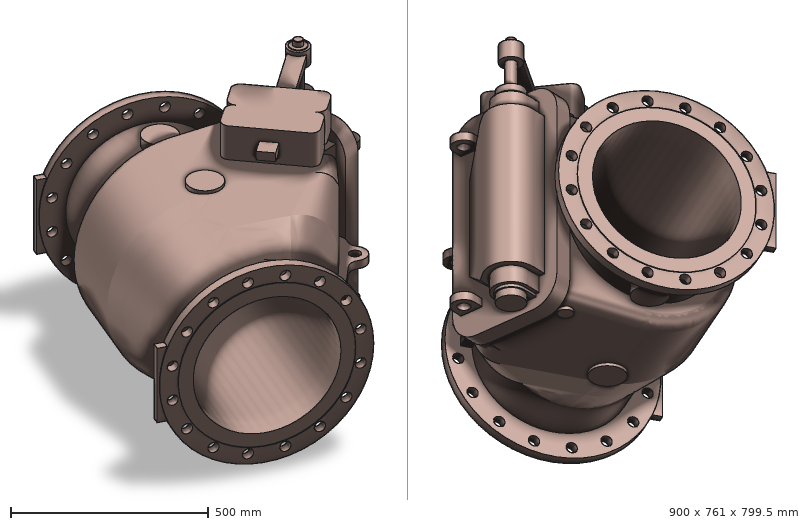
import cadquery as cq
import math


length = 900.0
bore_d = 400.0
pipe_d = 436.0
flange_d = 580.0
flange_thick = 28.0
raised_face_d = 480.0
raised_face_height = 3.0
bolt_circle_d = 518.0
bolt_d = 30.0
bolt_count = 16
foot_bottom = -295.0
foot_width = 221.0
foot_thick = 22.0

body_r = 283.0
roof_corner_r = 72.0
reducer_corner_r = 126.0
front_face_x = -260.0
front_face_tilt = 10.0
front_edge_r = 36.0
front_reach = -360.0
flank_height = 225.0
pipe_overlap = 135.0
roof_slope = 0.33
reducer_start_x = 52.0
reducer_start_top = 345.0
reducer_mid_x = 175.5
reducer_mid_top = 293.0
reducer_end_x = 292.0

cover_center = (-208.0, 350.0, 0)
cover_tilt = 30.0
joint_length = 347.0
joint_height = 651.0
joint_thick = 50.0
joint_corner_r = 80.0
neck_end = 143.0
neck_depth = 180.0

shaft_u = -60.0
shaft_n = 46.0
barrel_r = 73.0
barrel_half = 234.0
housing_steps = [(barrel_r, barrel_half), (54.0, 283.0), (44.0, 292.0)]
gland_d = 80.0
gland_half = 314.0
dome_end = 117.0
dome_end_half = 144.0

lug_r = 35.0
lug_thick = 24.0
cover_lug_center = (-127.0, 431.0)
cover_lug_z = 237.0
cover_lug_hole_d = 35.0
body_lug_center = (43.0, 391.0)
body_lug_hole_d = 32.0
lug_blend_r = 31.5
rib_height = 248.0
rib_crest = [(96.0, 353.0), (183.0, 313.0), (282.0, rib_height)]
rib_sink = 9.0

shaft_d = 32.0
hub_d = 65.0
hub_bottom = 399.0
hub_top = 449.0
washer_d = 50.0
washer_thick = 3.0
tip_d = 28.0
tip_top = 469.0
tip_chamfer = 2.0
lever_reach = 500.0
lever_width = 50.0
lever_thick = 26.0
weight_start = 246.0
weight_width = 103.0
weight_length = 257.0
weight_thick = 101.0
weight_corner_r = 25.0
weight_count = 2
weight_top = 474.0

pad_d = 100.0
pin_boss_d = 42.0
body_pad_top = 292.0
pipe_pad_top = 241.0
bosses = [
    (4.0, 0, pad_d, body_pad_top),
    (-320.0, 0, pad_d, pipe_pad_top),
    (-247.0, 201.0, pin_boss_d, body_pad_top),
]
plug_d = 28.0
plug_y = -254.0
plug_depth = 45.0

half_length = length / 2
disc_outer_x = half_length - raised_face_height
disc_inner_x = disc_outer_x - flange_thick
reducer_taper = (body_r - pipe_d / 2) / (reducer_end_x - reducer_start_x)
reducer_mid_r = body_r - reducer_taper * (reducer_mid_x - reducer_start_x)
beyond = 1800.0


def in_cover_frame(shape):
    """Move a shape from the cover frame (u along the joint, n outward, z) into place."""
    return shape.rotate((0, 0, 0), (0, 0, 1), cover_tilt).translate(cover_center)


def cover_point(u, n):
    """X and Y of a point given in the cover frame."""
    angle = math.radians(cover_tilt)
    x = cover_center[0] + u * math.cos(angle) - n * math.sin(angle)
    y = cover_center[1] + u * math.sin(angle) + n * math.cos(angle)
    return x, y


shaft_x, shaft_y = cover_point(shaft_u, shaft_n)


def join(base, part):
    """Union that keeps the seam where two faces meet flush."""
    return base.union(part, clean=False)


def cylinder_x(diameter, x_start, x_end):
    return cq.Workplane("YZ", origin=(x_start, 0, 0)).circle(diameter / 2).extrude(x_end - x_start)


def cylinder_z(x, y, diameter, z_start, z_end):
    return cq.Workplane(origin=(x, y, z_start)).circle(diameter / 2).extrude(z_end - z_start)


def end_flange():
    """Flange at the +X end, with raised face, foot and bolt holes."""
    disc = cylinder_x(flange_d, disc_inner_x, disc_outer_x)
    face = cylinder_x(raised_face_d, disc_outer_x, half_length)
    foot = cq.Workplane().box(foot_thick, -foot_bottom - bore_d / 2, foot_width)
    foot = foot.translate(((disc_inner_x + disc_outer_x) / 2, (foot_bottom - bore_d / 2) / 2, 0))
    first_hole = 180 / bolt_count
    holes = (
        cq.Workplane("YZ", origin=(disc_inner_x, 0, 0))
        .polarArray(bolt_circle_d / 2, first_hole, 360, bolt_count)
        .circle(bolt_d / 2)
        .extrude(flange_thick + raised_face_height)
    )
    return disc.union(foot).union(face).cut(holes)


def body_section(x, radius, top, c):
    """Wire across the body: half round below, straight sides, flat roof with corners of radius c."""
    mid = c * (1 - math.sqrt(0.5))
    outline = (
        cq.Workplane("YZ", origin=(x, 0, 0))
        .moveTo(0, -radius)
        .threePointArc((-radius, 0), (0, radius))
        .lineTo(top - c, radius)
        .threePointArc((top - mid, radius - mid), (top, radius - c))
        .lineTo(top, c - radius)
        .threePointArc((top - mid, mid - radius), (top - c, -radius))
        .close()
    )
    return outline.val()


def round_section(x, radius):
    """Circle cut into the same run of pieces as body_section."""
    def at(angle):
        return radius * math.cos(math.radians(angle)), radius * math.sin(math.radians(angle))

    corner_angles = [55, 20, -20, -55, -90]
    outline = cq.Workplane("YZ", origin=(x, 0, 0)).moveTo(*at(-90)).threePointArc(at(180), at(90))
    previous = 90
    for angle in corner_angles:
        outline = outline.threePointArc(at((previous + angle) / 2), at(angle))
        previous = angle
    return outline.close().val()


def body():
    """Chamber and reducer, trimmed by the tilted front face and the cover joint."""
    start = body_section(reducer_start_x, body_r, reducer_start_top, roof_corner_r)
    middle = body_section(reducer_mid_x, reducer_mid_r, reducer_mid_top, reducer_corner_r)
    end = round_section(reducer_end_x, pipe_d / 2)
    reducer = cq.Workplane(cq.Solid.makeLoft([start, middle, end], True))

    run = reducer_start_x - front_reach
    roof = cq.Workplane(cq.Solid.extrudeLinear(start, [], cq.Vector(-run, roof_slope * run, 0)))
    below_roof = cq.Workplane().box(beyond, beyond, beyond).translate((0, -beyond / 2, 0))
    chamber = roof.cut(below_roof).union(cylinder_x(2 * body_r, front_reach, reducer_start_x))
    flanks = cq.Workplane().box(run, flank_height, 2 * body_r)
    chamber = chamber.union(flanks.translate((reducer_start_x - run / 2, flank_height / 2, 0)))
    neck = cq.Workplane().box(2 * neck_end, neck_depth, 2 * body_r).translate((0, -neck_depth / 2, 0))
    chamber = chamber.union(in_cover_frame(neck))

    above_joint = cq.Workplane().box(beyond, beyond, beyond)
    above_joint = above_joint.translate((0, beyond / 2 - joint_thick / 2, 0))
    chamber = chamber.cut(in_cover_frame(above_joint))

    before_front = cq.Workplane().box(beyond, beyond, beyond).translate((-beyond / 2, 0, 0))
    before_front = before_front.rotate((0, 0, 0), (0, 0, 1), front_face_tilt)
    chamber = chamber.cut(before_front.translate((front_face_x, 0, 0)))

    tilt = math.radians(front_face_tilt)
    front_normal = cq.Vector(-math.cos(tilt), -math.sin(tilt), 0)
    front_face = max(chamber.faces("%PLANE").vals(), key=lambda f: f.normalAt().dot(front_normal))
    joint_edge_y = max(edge.Center().y for edge in front_face.Edges())
    rim = [edge for edge in front_face.Edges() if edge.Center().y < joint_edge_y]
    return join(chamber.newObject(rim).fillet(front_edge_r), reducer)


def housing_step(radius, half_height):
    """Round about the shaft with straight flanks down to the cover joint."""
    foot = cq.Workplane().box(2 * radius, shaft_n, 2 * half_height)
    foot = foot.translate((shaft_u, shaft_n / 2, 0))
    return foot.union(cylinder_z(shaft_u, shaft_n, 2 * radius, -half_height, half_height))


def cover_dome():
    """Wedge from the barrel down to the joint, with ends that slope toward its tip."""
    reach = math.hypot(dome_end - shaft_u, shaft_n)
    to_end = math.atan2(-shaft_n, dome_end - shaft_u)
    touch_angle = to_end + math.acos(barrel_r / reach)
    touch_u = shaft_u + barrel_r * math.cos(touch_angle)
    touch_n = shaft_n + barrel_r * math.sin(touch_angle)
    flank_u = shaft_u + barrel_r
    profile = [(shaft_u, 0), (dome_end, 0), (touch_u, touch_n), (shaft_u, shaft_n)]
    wedge = cq.Workplane(origin=(0, 0, -barrel_half)).polyline(profile).close().extrude(2 * barrel_half)
    ends = [
        (shaft_u, -barrel_half),
        (flank_u, -barrel_half),
        (dome_end, -dome_end_half),
        (dome_end, dome_end_half),
        (flank_u, barrel_half),
        (shaft_u, barrel_half),
    ]
    sloping = cq.Workplane("XZ").polyline(ends).close().extrude(-touch_n)
    return wedge.intersect(sloping)


def joint_plate(n_outer):
    """One of the two equal plates of the bolted joint, with its outer face at height n_outer."""
    thick = joint_thick / 2
    plate = cq.Workplane().box(joint_length, thick, joint_height).edges("|Y").fillet(joint_corner_r)
    return plate.translate((0, n_outer - thick / 2, 0))


def cover():
    """Bolted joint, shaft housing and dome."""
    shape = joint_plate(0).union(cover_dome())
    for radius, half_height in housing_steps:
        shape = shape.union(housing_step(radius, half_height))
    shape = shape.union(cylinder_z(shaft_u, shaft_n, gland_d, -gland_half, gland_half))
    return in_cover_frame(join(shape, joint_plate(-joint_thick / 2)))


def cover_lug(z):
    """Eye plate standing on the outer face of the cover, centred at height z."""
    x, y = cover_lug_center
    lower, upper = z - lug_thick / 2, z + lug_thick / 2
    stem_length = 2 * lug_r
    stem = cq.Workplane().box(2 * lug_r, stem_length, lug_thick).translate((0, -stem_length / 2, 0))
    stem = stem.rotate((0, 0, 0), (0, 0, 1), cover_tilt).translate((x, y, z))
    eye = stem.union(cylinder_z(x, y, 2 * lug_r, lower, upper))
    return eye.cut(cylinder_z(x, y, cover_lug_hole_d, lower, upper))


def body_rib():
    """Centre rib over the reducer and rear pipe, with a lifting eye."""
    joint_corner = cover_point(joint_length / 2, -joint_thick)
    joint_inner = cover_point(neck_end, -joint_thick)
    rib_foot = pipe_d / 2 - rib_sink
    outline = [
        joint_corner,
        (body_lug_center[0], joint_corner[1]),
        *rib_crest,
        (disc_inner_x, rib_height),
        (disc_inner_x, rib_foot),
        (reducer_end_x, rib_foot),
        (joint_inner[0], body_r),
        joint_inner,
    ]
    lower, upper = -lug_thick / 2, lug_thick / 2
    rib = cq.Workplane(origin=(0, 0, lower)).polyline(outline).close().extrude(lug_thick)
    rib = rib.union(cylinder_z(*body_lug_center, 2 * lug_r, lower, upper))

    tolerance = 0.1

    def meets_eye(edge):
        offset = edge.Center() - cq.Vector(*body_lug_center, 0)
        return abs(offset.Length - lug_r) < tolerance

    roots = [edge for edge in rib.edges("|Z").vals() if meets_eye(edge)]
    rib = rib.newObject(roots).fillet(lug_blend_r)
    return rib.cut(cylinder_z(*body_lug_center, body_lug_hole_d, lower, upper))


def lever():
    """Shaft end, hub, lever bar and the two counterweights."""
    washer_top = hub_top + washer_thick
    mid_z = weight_top - weight_thick / 2
    bar = cq.Workplane().box(lever_reach, lever_width, lever_thick).translate((lever_reach / 2, 0, mid_z))
    for index in range(weight_count):
        weight = cq.Workplane().box(weight_width, weight_length, weight_thick)
        weight = weight.edges("|Z").fillet(weight_corner_r)
        bar = join(bar, weight.translate((weight_start + (index + 0.5) * weight_width, 0, mid_z)))
    shape = bar.rotate((0, 0, 0), (0, 0, 1), -cover_tilt).translate((shaft_x, shaft_y, 0))
    tip = cylinder_z(shaft_x, shaft_y, tip_d, washer_top, tip_top).faces(">Z").chamfer(tip_chamfer)
    shaft_parts = [
        cylinder_z(shaft_x, shaft_y, shaft_d, 0, hub_top),
        cylinder_z(shaft_x, shaft_y, hub_d, hub_bottom, hub_top),
        cylinder_z(shaft_x, shaft_y, washer_d, hub_top, washer_top),
        tip,
    ]
    for shaft_part in shaft_parts:
        shape = join(shape, shaft_part)
    return shape


def front_plug():
    """Small plug in the rounded lower rim, flush with the tilted front face."""
    plug = cq.Workplane("YZ").circle(plug_d / 2).extrude(plug_depth)
    plug = plug.rotate((0, 0, 0), (0, 0, 1), front_face_tilt)
    plug_x = front_face_x - plug_y * math.tan(math.radians(front_face_tilt))
    return plug.translate((plug_x, plug_y, 0))


rear_flange = end_flange()
front_flange = rear_flange.mirror("YZ")

parts = [
    cylinder_x(pipe_d, -disc_inner_x, front_face_x + pipe_overlap),
    cylinder_x(pipe_d, reducer_end_x, disc_inner_x),
    front_flange,
    rear_flange,
    body_rib(),
    front_plug(),
    cover(),
    lever(),
    cover_lug(cover_lug_z),
    cover_lug(-cover_lug_z),
]
for boss_x, boss_y, boss_d, boss_top in bosses:
    for side_end in (boss_top, -boss_top):
        parts.append(cylinder_z(boss_x, boss_y, boss_d, 0, side_end))

result = body()
for part in parts:
    result = join(result, part)
result = result.cut(cylinder_x(bore_d, -half_length, half_length), clean=False)